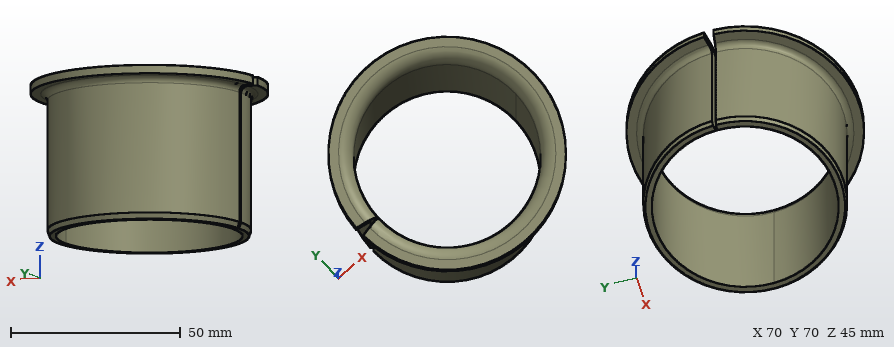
import cadquery as cq
import math

height = 45.0
flange_radius = 35.0
bore_radius = 27.5
wall = 2.5
inner_bend_radius = 1.95
chamfer_height = 1.75
chamfer_angle = 20.0

gap_at_bore = 0.2
gap_at_rim = 3.0

sleeve_radius = bore_radius + wall
flange_bottom = height - wall
bend_radius = sleeve_radius + inner_bend_radius
bend_height = flange_bottom - inner_bend_radius
outer_bend_radius = inner_bend_radius + wall
chamfer_width = chamfer_height * math.tan(math.radians(chamfer_angle))


def bend_point(radius):
    """Middle of a quarter bend, as (distance from axis, height)."""
    offset = radius * math.sqrt(0.5)
    return (bend_radius - offset, bend_height + offset)


def bushing():
    """Revolve the wall section: sleeve, bend, flange and lead-in chamfer."""
    section = (
        cq.Workplane("XZ")
        .moveTo(bore_radius, 0)
        .lineTo(sleeve_radius - chamfer_width, 0)
        .lineTo(sleeve_radius, chamfer_height)
        .lineTo(sleeve_radius, bend_height)
        .threePointArc(bend_point(inner_bend_radius), (bend_radius, flange_bottom))
        .lineTo(flange_radius, flange_bottom)
        .lineTo(flange_radius, height)
        .lineTo(bend_radius, height)
        .threePointArc(bend_point(outer_bend_radius), (bore_radius, bend_height))
        .close()
    )
    return section.revolve(360, (0, 0, 0), (0, 1, 0))


def split():
    """Tapered cutter through the full height of one side of the wall."""
    overrun = 0.7
    taper = (gap_at_rim - gap_at_bore) / (flange_radius - bore_radius) / 2
    inner_x = bore_radius - gap_at_bore
    outer_x = flange_radius + overrun
    inner_half = gap_at_bore / 2
    outer_half = gap_at_rim / 2 + taper * overrun
    return (
        cq.Workplane("XY")
        .polyline([
            (-inner_x, -inner_half),
            (-bore_radius, -inner_half),
            (-outer_x, -outer_half),
            (-outer_x, outer_half),
            (-bore_radius, inner_half),
            (-inner_x, inner_half),
        ])
        .close()
        .extrude(height)
    )


result = bushing().cut(split())